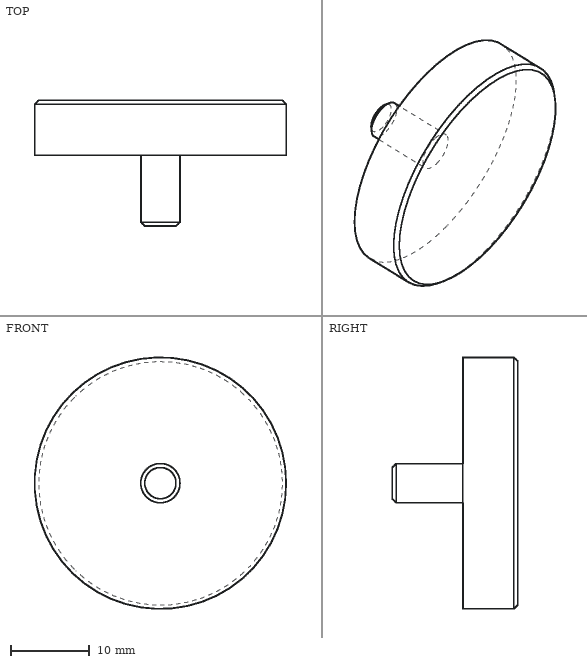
import cadquery as cq

disc_diameter = 32.0
overall_length = 16.0
disc_thickness = 7.0
pin_diameter = 5.0
edge_chamfer = 0.5

pin_length = overall_length - disc_thickness


def cylinder_along_y(diameter, start_y, end_y):
    """Solid cylinder on the Y axis between two Y positions."""
    return (
        cq.Workplane("XZ", origin=(0, end_y, 0))
        .circle(diameter / 2)
        .extrude(end_y - start_y)
    )


def make_disc():
    """Disc with a chamfered back rim."""
    disc_blank = cylinder_along_y(disc_diameter, 0, disc_thickness)
    return disc_blank.faces(">Y").chamfer(edge_chamfer)


def make_pin():
    """Pin standing on the disc's plain face, with a chamfered free end."""
    pin_blank = cylinder_along_y(pin_diameter, -pin_length, 0)
    return pin_blank.faces("<Y").chamfer(edge_chamfer)


disc = make_disc()
pin = make_pin()

result = cq.Compound.makeCompound([disc.val(), pin.val()])